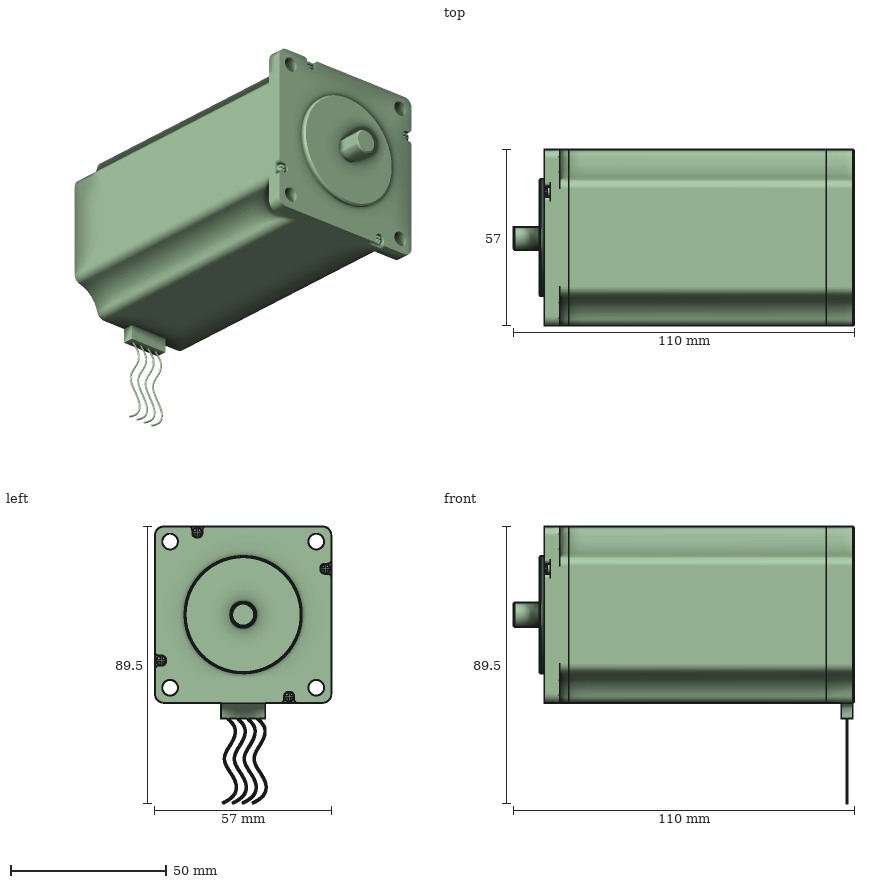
import cadquery as cq
import math


flange_thickness = 5.0
front_cover_end = 8.0
rear_cover_start = 91.0
motor_end = 100.0

motor_width = 57.0
half_width = motor_width / 2
flange_corner_radius = 3.0
scallop_radius = 10.0
scallop_edge_radius = 3.0
rear_edge_chamfer = 0.4

boss_diameter = 38.0
boss_height = 1.6
boss_chamfer = 0.5
shaft_diameter = 8.0
shaft_projection = 10.0
shaft_chamfer = 0.5
shaft_flat_distance = 3.5
shaft_hole_diameter = 8.5

mounting_hole_spacing = 47.14
mounting_hole_diameter = 5.0

screw_count = 4
screw_along_edge = 14.8
screw_from_axis = 26.5
notch_depth = 2.0
notch_radius = 1.7
notch_mouth_radius = 1.2
screw_head_radius = 1.5
screw_rim_height = 1.0
screw_dome_height = 0.9
screw_slot_width = 0.65
screw_slot_depth = 0.9

connector_length = 3.8
connector_width = 14.4
connector_height = 5.0
connector_bottom = -half_width - connector_height
connector_end = motor_end - rear_edge_chamfer
wire_count = 4
wire_pitch = 3.2
wire_diameter = 0.6
wire_anchor = 0.5
first_wire_y = 4.95
wire_bends = [(-2.4, 4.1), (1.1, 13.0), (-2.75, 22.2)]
wire_tip = (1.6, 27.28)
wire_start_direction = (-0.7, -0.7)
wire_tip_direction = (0.9, -0.45)


def cylinder_x(diameter, start, end):
    return cq.Workplane("YZ", origin=(start, 0, 0)).circle(diameter / 2).extrude(end - start)


def square_block(start, end):
    return cq.Workplane("YZ", origin=(start, 0, 0)).rect(motor_width, motor_width).extrude(end - start)


def scalloped_block(start, end):
    """Square block whose four long corners are scooped out by arcs centred on the corners."""
    corners = (
        cq.Workplane("YZ", origin=(start, 0, 0))
        .rect(motor_width, motor_width, forConstruction=True)
        .vertices()
        .circle(scallop_radius)
        .extrude(end - start)
    )
    return square_block(start, end).cut(corners).edges("|X").fillet(scallop_edge_radius)


def screw_notch():
    """Round-bottomed notch with a flared mouth at the +Z edge of the flange."""
    mouth_half_width = notch_radius + notch_mouth_radius
    mouth_z = half_width - notch_mouth_radius
    arc_offset = notch_mouth_radius * math.sqrt(0.5)
    flare_y = mouth_half_width - arc_offset
    flare_z = mouth_z + arc_offset
    return (
        cq.Workplane("YZ")
        .moveTo(-mouth_half_width, half_width)
        .threePointArc((-flare_y, flare_z), (-notch_radius, mouth_z))
        .lineTo(-notch_radius, screw_from_axis)
        .threePointArc((0, screw_from_axis - notch_radius), (notch_radius, screw_from_axis))
        .lineTo(notch_radius, mouth_z)
        .threePointArc((flare_y, flare_z), (mouth_half_width, half_width))
        .close()
        .extrude(notch_depth)
        .translate((0, screw_along_edge, 0))
    )


def screw_head():
    """Domed screw head with a cross slot, standing on the floor of its notch."""
    rim_x = notch_depth - screw_rim_height
    dome_x = rim_x - screw_dome_height
    sphere_radius = (screw_head_radius**2 + screw_dome_height**2) / (2 * screw_dome_height)
    half_angle = math.asin(screw_head_radius / sphere_radius) / 2
    dome_mid_x = dome_x + sphere_radius * (1 - math.cos(half_angle))
    dome_mid_radius = sphere_radius * math.sin(half_angle)
    head = (
        cq.Workplane("XY")
        .moveTo(notch_depth, 0)
        .lineTo(notch_depth, screw_head_radius)
        .lineTo(rim_x, screw_head_radius)
        .threePointArc((dome_mid_x, dome_mid_radius), (dome_x, 0))
        .close()
        .revolve(360, (0, 0, 0), (1, 0, 0))
    )
    slot_length = 2 * screw_head_radius
    for width_y, width_z in ((slot_length, screw_slot_width), (screw_slot_width, slot_length)):
        slot = cq.Workplane("YZ").rect(width_y, width_z).extrude(dome_x + screw_slot_depth)
        head = head.cut(slot)
    return head.translate((0, screw_along_edge, screw_from_axis))


def build_front_cover():
    """Flange, pilot boss and scalloped neck, with the screws seated in the flange."""
    flange = square_block(0, flange_thickness).edges("|X").fillet(flange_corner_radius)
    boss = cylinder_x(boss_diameter, -boss_height, 0).faces("<X").chamfer(boss_chamfer)
    cover = flange.union(boss).union(scalloped_block(flange_thickness, front_cover_end))

    mounting_holes = (
        cq.Workplane("YZ")
        .rect(mounting_hole_spacing, mounting_hole_spacing, forConstruction=True)
        .vertices()
        .circle(mounting_hole_diameter / 2)
        .extrude(flange_thickness)
    )
    cover = cover.cut(mounting_holes).cut(cylinder_x(shaft_hole_diameter, -boss_height, front_cover_end))

    for i in range(screw_count):
        angle = i * 360 / screw_count
        cover = cover.cut(screw_notch().rotate((0, 0, 0), (1, 0, 0), angle))
        cover = cover.union(screw_head().rotate((0, 0, 0), (1, 0, 0), angle))
    return cover


def build_shaft():
    """Flatted output shaft, running through the front cover to the face of the stator."""
    shaft = cylinder_x(shaft_diameter, -shaft_projection, front_cover_end)
    shaft = shaft.faces("<X").chamfer(shaft_chamfer)
    flat_cut = cq.Workplane("XY").box(
        shaft_projection, shaft_diameter, shaft_diameter, centered=(False, False, True)
    )
    return shaft.cut(flat_cut.translate((-shaft_projection, shaft_flat_distance, 0)))


def build_stator():
    return scalloped_block(front_cover_end, rear_cover_start)


def wire(start_y):
    """Wavy wire hanging from the connector in a plane of constant X."""
    start = (start_y, connector_bottom)
    bends = [(start_y + side, connector_bottom - drop) for side, drop in wire_bends]
    tip = (start_y + wire_tip[0], connector_bottom - wire_tip[1])
    middle_x = connector_end - connector_length / 2
    tangents = [wire_start_direction, (0, -1), (0, -1), (0, -1), wire_tip_direction]
    direction_y, direction_z = wire_start_direction
    anchor = (start_y - direction_y * wire_anchor, connector_bottom - direction_z * wire_anchor)
    path = (
        cq.Workplane("YZ", origin=(middle_x, 0, 0))
        .moveTo(*anchor)
        .lineTo(*start)
        .spline([*bends, tip], tangents=tangents, includeCurrent=True)
    )
    section = cq.Plane(
        origin=(middle_x, *anchor),
        xDir=(1, 0, 0),
        normal=(0, direction_y, direction_z),
    )
    return cq.Workplane(section).circle(wire_diameter / 2).sweep(path)


def build_rear_cover():
    """Scalloped rear cover with the connector block and its wires."""
    cover = scalloped_block(rear_cover_start, motor_end).faces(">X").chamfer(rear_edge_chamfer)
    connector = cq.Workplane("XY").box(connector_length, connector_width, connector_height)
    connector_x = connector_end - connector_length / 2
    connector = connector.translate((connector_x, 0, connector_bottom + connector_height / 2))
    cover = cover.union(connector)
    for i in range(wire_count):
        cover = cover.union(wire(first_wire_y - i * wire_pitch))
    return cover


front_cover = build_front_cover()
shaft = build_shaft()
stator = build_stator()
rear_cover = build_rear_cover()

result = cq.Compound.makeCompound(
    [
        *front_cover.solids().vals(),
        *shaft.solids().vals(),
        *stator.solids().vals(),
        *rear_cover.solids().vals(),
    ]
)